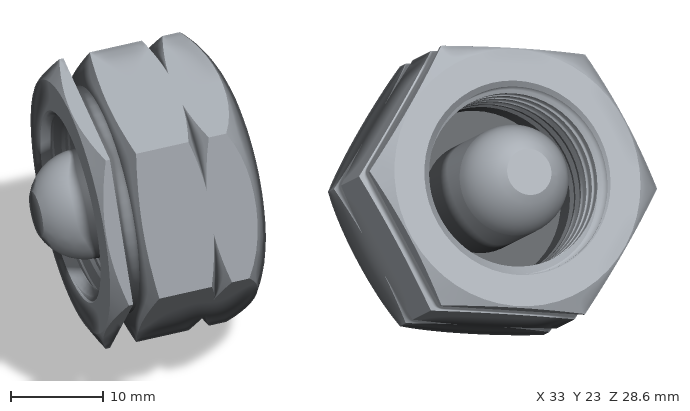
import cadquery as cq
import math


HEX_CORNERS = 33.0
CORNER_RADIUS = HEX_CORNERS / 2
FLAT_RADIUS = CORNER_RADIUS * math.cos(math.radians(30))

FLANGE_THICKNESS = 1.85
FLANGE_FACE_RADIUS = 14.12
FLANGE_CHAMFER_ANGLE = 30.0
SLEEVE_RADIUS = 12.65
SLEEVE_LENGTH = 13.2
BORE_RADIUS = 9.57
BORE_MOUTH_RADIUS = 10.7

THREAD_PITCH = 1.8
THREAD_DEPTH = 1.0
THREAD_ROOT_WIDTH = THREAD_PITCH / 8
THREAD_HALF_ANGLE = 30.0
THREAD_TURNS = 6
THREAD_LENGTH = THREAD_TURNS * THREAD_PITCH
THREAD_OVERCUT = 0.05

CAP_FRONT = 3.8
CAP_BACK = 19.05
CAP_CHAMFER_ANGLE = 15.0
DOME_BACK_RADIUS = 9.77
DOME_FLAT_DROP = 1.95
DOME_CORNER_DROP = 3.95
NOTCH_FROM_BACK = 7.1
NOTCH_HALF_WIDTH = 1.15
NOTCH_ANGLE = 30.0

PIN_RADIUS = 6.07
PIN_TIP_RADIUS = 2.55
PIN_PROTRUSION = 3.9


def hex_prism(start, end):
    """Hexagonal prism along Y with two corners on the X axis."""
    sketch_plane = cq.Workplane("XZ", origin=(0, start, 0))
    return sketch_plane.polygon(6, HEX_CORNERS).extrude(start - end)


def cylinder(radius, start, end):
    return cq.Workplane("XZ", origin=(0, start, 0)).circle(radius).extrude(start - end)


def revolve_about_y(profile):
    """Turn a closed outline of (radius, y) points about the Y axis."""
    return profile.revolve(360, (0, 0, 0), (0, 1, 0))


def flange():
    chamfer_drop = (CORNER_RADIUS - FLANGE_FACE_RADIUS) * math.tan(math.radians(FLANGE_CHAMFER_ANGLE))
    outline = (
        cq.Workplane("XY")
        .moveTo(0, 0)
        .lineTo(FLANGE_FACE_RADIUS, 0)
        .lineTo(CORNER_RADIUS, chamfer_drop)
        .lineTo(CORNER_RADIUS, FLANGE_THICKNESS)
        .lineTo(0, FLANGE_THICKNESS)
        .close()
    )
    return hex_prism(0, FLANGE_THICKNESS).intersect(revolve_about_y(outline))


def bore_cutter():
    """Through bore with a 45 degree chamfer at its mouth."""
    chamfer = BORE_MOUTH_RADIUS - BORE_RADIUS
    outline = (
        cq.Workplane("XY")
        .moveTo(0, 0)
        .lineTo(BORE_MOUTH_RADIUS, 0)
        .lineTo(BORE_RADIUS, chamfer)
        .lineTo(BORE_RADIUS, SLEEVE_LENGTH)
        .lineTo(0, SLEEVE_LENGTH)
        .close()
    )
    return revolve_about_y(outline)


def thread_cutter():
    """Left-hand helical V groove that starts at the bottom of the mouth, inside its chamfer."""
    root_radius = BORE_RADIUS + THREAD_DEPTH
    inner_radius = BORE_RADIUS - THREAD_OVERCUT
    root_half = THREAD_ROOT_WIDTH / 2
    mouth_half = root_half + (root_radius - inner_radius) * math.tan(math.radians(THREAD_HALF_ANGLE))
    helix = cq.Wire.makeHelix(THREAD_PITCH, THREAD_LENGTH, BORE_RADIUS, lefthand=True)
    groove = (
        cq.Workplane("XZ")
        .moveTo(inner_radius, -mouth_half)
        .lineTo(root_radius, -root_half)
        .lineTo(root_radius, root_half)
        .lineTo(inner_radius, mouth_half)
        .close()
        .sweep(cq.Workplane(helix), isFrenet=True)
    )
    along_y = groove.rotate((0, 0, 0), (1, 0, 0), -90)
    return along_y.rotate((0, 0, 0), (0, 1, 0), 90)


def make_sleeve():
    blank = flange().union(cylinder(SLEEVE_RADIUS, 0, SLEEVE_LENGTH))
    return blank.cut(bore_cutter()).cut(thread_cutter())


def notch_cutter():
    """V groove turned into the hexagon, deep enough to part the corners only."""
    notch_y = CAP_BACK - NOTCH_FROM_BACK
    notch_radius = CORNER_RADIUS - NOTCH_HALF_WIDTH / math.tan(math.radians(NOTCH_ANGLE))
    outline = (
        cq.Workplane("XY")
        .moveTo(notch_radius, notch_y)
        .lineTo(CORNER_RADIUS, notch_y + NOTCH_HALF_WIDTH)
        .lineTo(CORNER_RADIUS, notch_y - NOTCH_HALF_WIDTH)
        .close()
    )
    return revolve_about_y(outline)


def make_cap():
    chamfer_drop = (CORNER_RADIUS - SLEEVE_RADIUS) * math.tan(math.radians(CAP_CHAMFER_ANGLE))
    outline = (
        cq.Workplane("XY")
        .moveTo(0, CAP_FRONT)
        .lineTo(SLEEVE_RADIUS, CAP_FRONT)
        .lineTo(CORNER_RADIUS, CAP_FRONT + chamfer_drop)
        .lineTo(CORNER_RADIUS, CAP_BACK - DOME_CORNER_DROP)
        .threePointArc((FLAT_RADIUS, CAP_BACK - DOME_FLAT_DROP), (DOME_BACK_RADIUS, CAP_BACK))
        .lineTo(0, CAP_BACK)
        .close()
    )
    blank = hex_prism(CAP_FRONT, CAP_BACK).intersect(revolve_about_y(outline))
    socket = cylinder(SLEEVE_RADIUS, CAP_FRONT, SLEEVE_LENGTH)
    return blank.cut(notch_cutter()).cut(socket)


def make_pin():
    """Cylinder with a tangent spherical nose cut flat at its tip, standing on the socket floor."""
    nose_centre = math.sqrt(PIN_RADIUS**2 - PIN_TIP_RADIUS**2) - PIN_PROTRUSION
    diagonal = PIN_RADIUS * math.sqrt(0.5)
    outline = (
        cq.Workplane("XY")
        .moveTo(0, -PIN_PROTRUSION)
        .lineTo(PIN_TIP_RADIUS, -PIN_PROTRUSION)
        .threePointArc((diagonal, nose_centre - diagonal), (PIN_RADIUS, nose_centre))
        .lineTo(PIN_RADIUS, SLEEVE_LENGTH)
        .lineTo(0, SLEEVE_LENGTH)
        .close()
    )
    return revolve_about_y(outline)


sleeve = make_sleeve()
cap = make_cap()
pin = make_pin()

result = cq.Compound.makeCompound([sleeve.val(), cap.val(), pin.val()])